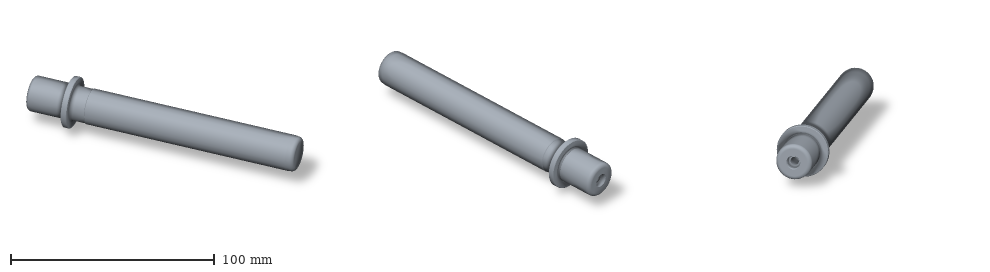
import cadquery as cq
import math

length = 140.0
body_radius = 9.0
x_spigot_end = -length / 2
x_tip_end = length / 2

flange_radius = 13.0
flange_thickness = 3.0
rim_chamfer = 0.25
spigot_length = 20.0
x_flange_start = x_spigot_end + spigot_length
x_flange_end = x_flange_start + flange_thickness

relief_depth = 0.3
relief_radius = body_radius - relief_depth
groove_width = 1.0
groove_taper = 0.3
groove_round = 0.5
face_relief_depth = 0.2
face_relief_radius = 9.8
x_groove_start = x_flange_start - groove_width
x_groove_round = x_flange_start + face_relief_depth - groove_round
groove_round_centre_r = relief_radius + groove_round

neck_length = 8.0
neck_taper = 0.3
neck_fillet = 1.0
x_neck_end = x_flange_end + neck_length
x_neck_fillet = x_flange_end + neck_fillet
neck_fillet_centre_r = relief_radius + neck_fillet

end_round = 2.0
lead_cone_length = 2.0
lead_cone_drop = 0.2
lead_radius = body_radius - lead_cone_drop
spigot_round_x = x_spigot_end + end_round
spigot_round_r = body_radius - end_round
tip_round_r = lead_radius - end_round
x_round_start = x_tip_end - end_round
x_cone_start = x_round_start - lead_cone_length

mouth_radius = 3.5
mouth_chamfer_width = 0.3
mouth_chamfer_depth = 0.7
counterbore_radius = mouth_radius - mouth_chamfer_width
counterbore_depth = 3.0
pilot_radius = 2.1
pilot_depth = 12.0
drill_point_angle = 118.0
drill_tip_length = pilot_radius / math.tan(math.radians(drill_point_angle / 2))


def arc_middle(centre_x, centre_r, x_offset_sign, r_offset_sign, radius):
    """Midpoint of a quarter round, offset diagonally from the arc centre."""
    offset = radius * math.sqrt(0.5)
    return (centre_x + x_offset_sign * offset, centre_r + r_offset_sign * offset)


def revolve_about_axis(profile):
    return profile.close().revolve(360, (0, 0, 0), (1, 0, 0))


def make_pillar():
    profile = (
        cq.Workplane("XY")
        .moveTo(x_spigot_end, 0)
        .lineTo(x_spigot_end, spigot_round_r)
        .threePointArc(
            arc_middle(spigot_round_x, spigot_round_r, -1, 1, end_round),
            (spigot_round_x, body_radius),
        )
        .lineTo(x_groove_start, body_radius)
        .lineTo(x_groove_start + groove_taper, relief_radius)
        .lineTo(x_groove_round, relief_radius)
        .threePointArc(
            arc_middle(x_groove_round, groove_round_centre_r, 1, -1, groove_round),
            (x_groove_round + groove_round, groove_round_centre_r),
        )
        .lineTo(x_flange_start, face_relief_radius)
        .lineTo(x_flange_start, flange_radius - rim_chamfer)
        .lineTo(x_flange_start + rim_chamfer, flange_radius)
        .lineTo(x_flange_end - rim_chamfer, flange_radius)
        .lineTo(x_flange_end, flange_radius - rim_chamfer)
        .lineTo(x_flange_end, neck_fillet_centre_r)
        .threePointArc(
            arc_middle(x_neck_fillet, neck_fillet_centre_r, -1, -1, neck_fillet),
            (x_neck_fillet, relief_radius),
        )
        .lineTo(x_neck_end - neck_taper, relief_radius)
        .lineTo(x_neck_end, body_radius)
        .lineTo(x_cone_start, body_radius)
        .lineTo(x_round_start, lead_radius)
        .threePointArc(
            arc_middle(x_round_start, tip_round_r, 1, 1, end_round),
            (x_tip_end, tip_round_r),
        )
        .lineTo(x_tip_end, 0)
    )
    return revolve_about_axis(profile)


def make_centre_hole():
    x_counterbore_floor = x_spigot_end + counterbore_depth
    x_pilot_end = x_spigot_end + pilot_depth
    profile = (
        cq.Workplane("XY")
        .moveTo(x_spigot_end, 0)
        .lineTo(x_spigot_end, mouth_radius)
        .lineTo(x_spigot_end + mouth_chamfer_depth, counterbore_radius)
        .lineTo(x_counterbore_floor, counterbore_radius)
        .lineTo(x_counterbore_floor, pilot_radius)
        .lineTo(x_pilot_end, pilot_radius)
        .lineTo(x_pilot_end + drill_tip_length, 0)
    )
    return revolve_about_axis(profile)


result = make_pillar().cut(make_centre_hole())